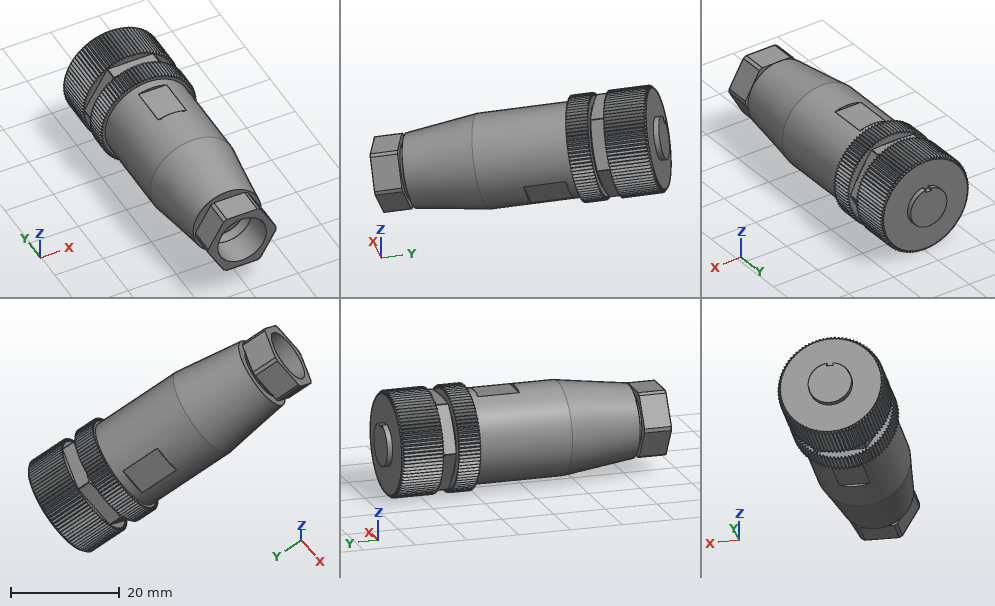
import cadquery as cq
import math

TIP_START = 0.0
COLLAR_START = 1.0
COLLAR_END = 9.0
HEX_END = 11.8
RING_START = 12.05
RING_END = 16.2
TAPER_START = 34.25
TAPER_END = 47.95
RIDGE_CREST = 48.4
NUT_START = 48.8
NUT_END = 54.0

TIP_RADIUS = 4.05
NOTCH_WIDTH = 1.2
NOTCH_DEPTH = 0.55

KNURL_RADIUS = 10.0
KNURL_DEPTH = 0.6
KNURL_TEETH = 87
COLLAR_CHAMFER = 0.55
RING_CHAMFER = 0.2

HEX_FLAT = 8.25
HEX_CORNER_RADIUS = 9.5
HEX_CHAMFER_LENGTH = 0.25
NECK_RADIUS = 8.0

BODY_RADIUS = 8.9
BODY_END_RADIUS = 7.0
LABEL_START = 18.0
LABEL_END = 25.9
LABEL_HEIGHT = 8.4

RIDGE_FRONT_RADIUS = 5.2
RIDGE_CREST_RADIUS = 5.5
RIDGE_REAR_RADIUS = 5.3

NUT_FLAT = 6.25
NUT_CORNER_RADIUS = 7.0
BORE_RADIUS = 5.0
BORE_DEPTH = 8.1


def section_plane(station):
    """Cross-section plane at a station: local x is X, local y is Z, extrusion runs along -Y."""
    return cq.Workplane("XZ", origin=(0, -station, 0))


def cylinder(radius, start, end):
    return section_plane(start).circle(radius).extrude(end - start)


def turned(profile):
    """Revolve a (radius, station) outline around the Y axis."""
    points = [(radius, -station) for radius, station in profile]
    return cq.Workplane("XY").polyline(points).close().revolve(360, (0, 0, 0), (0, 1, 0))


def hexagon(flat_distance, start, end):
    """Hexagonal prism with flats facing +Z and -Z."""
    corner_diameter = 2 * flat_distance / math.cos(math.pi / 6)
    return section_plane(start).polygon(6, corner_diameter).extrude(end - start)


def knurled(start, end, chamfer):
    """Cylinder with V-shaped teeth, bevelled at its front edge."""
    pitch = 2 * math.pi / KNURL_TEETH
    outline = []
    for tooth in range(KNURL_TEETH):
        crest = math.pi / 2 + tooth * pitch
        root = crest + pitch / 2
        root_radius = KNURL_RADIUS - KNURL_DEPTH
        outline.append((KNURL_RADIUS * math.cos(crest), KNURL_RADIUS * math.sin(crest)))
        outline.append((root_radius * math.cos(root), root_radius * math.sin(root)))
    teeth = section_plane(start).polyline(outline).close().extrude(end - start)
    envelope = turned([
        (0, start),
        (KNURL_RADIUS - chamfer, start),
        (KNURL_RADIUS, start + chamfer),
        (KNURL_RADIUS, end),
        (0, end),
    ])
    return teeth.intersect(envelope)


def plug_tip():
    tip = cylinder(TIP_RADIUS, TIP_START, COLLAR_START)
    notch = (
        section_plane(TIP_START)
        .center(0, TIP_RADIUS - NOTCH_DEPTH / 2)
        .rect(NOTCH_WIDTH, NOTCH_DEPTH)
        .extrude(COLLAR_START - TIP_START)
    )
    return tip.cut(notch)


def wrench_hexagon():
    """Hexagon whose corners are bevelled towards the ring, followed by a short neck."""
    envelope = turned([
        (0, COLLAR_END),
        (HEX_CORNER_RADIUS, COLLAR_END),
        (HEX_CORNER_RADIUS, HEX_END - HEX_CHAMFER_LENGTH),
        (HEX_FLAT, HEX_END),
        (0, HEX_END),
    ])
    neck = cylinder(NECK_RADIUS, HEX_END, RING_START)
    return hexagon(HEX_FLAT, COLLAR_END, HEX_END).intersect(envelope).union(neck)


def housing():
    body = turned([
        (0, RING_END),
        (BODY_RADIUS, RING_END),
        (BODY_RADIUS, TAPER_START),
        (BODY_END_RADIUS, TAPER_END),
        (RIDGE_FRONT_RADIUS, TAPER_END),
        (RIDGE_CREST_RADIUS, RIDGE_CREST),
        (RIDGE_REAR_RADIUS, NUT_START),
        (0, NUT_START),
    ])
    pocket_depth = BODY_RADIUS - LABEL_HEIGHT
    for side in (1, -1):
        pocket = (
            section_plane(LABEL_START)
            .center(0, side * (LABEL_HEIGHT + pocket_depth / 2))
            .rect(2 * BODY_RADIUS, pocket_depth)
            .extrude(LABEL_END - LABEL_START)
        )
        body = body.cut(pocket)
    return body


def clamping_nut():
    rounding = cylinder(NUT_CORNER_RADIUS, NUT_START, NUT_END)
    return hexagon(NUT_FLAT, NUT_START, NUT_END).intersect(rounding)


result = (
    plug_tip()
    .union(knurled(COLLAR_START, COLLAR_END, COLLAR_CHAMFER))
    .union(wrench_hexagon())
    .union(knurled(RING_START, RING_END, RING_CHAMFER))
    .union(housing())
    .union(clamping_nut())
    .cut(cylinder(BORE_RADIUS, NUT_END - BORE_DEPTH, NUT_END))
)